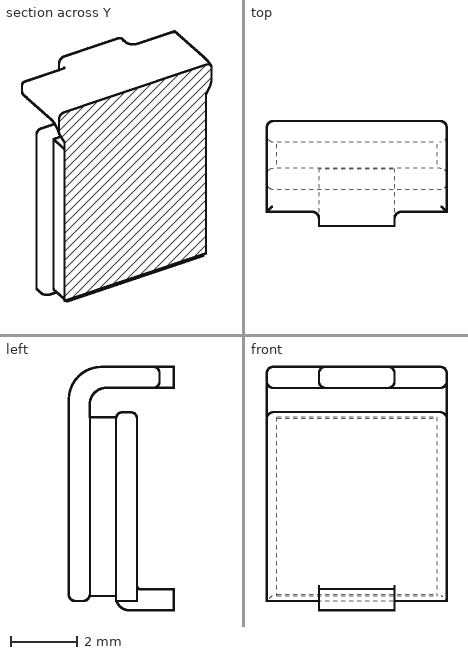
import cadquery as cq

width = 5.44
depth = 3.18
height = 7.36
sheet = 0.64
edge_round = 0.2

tab_width = 2.29
tab_reach = 1.11
tab_outer_bend = 0.4
tab_inner_bend = 0.1

plate_bottom = 0.28
top_gap = 1.37
front_plate_top = height - top_gap
corner_round = 0.21
core_side_inset = 0.3
core_end_inset = 0.15

outer_bend = 1.0
inner_bend = 0.5
shoulder = 0.43
shoulder_round = 0.2

tolerance = 1e-3

front_plate_back = tab_reach + sheet
back_plate_front = depth - sheet
overhang_bottom = height - sheet


def box(x_size, y_min, y_max, z_min, z_max):
    """Box centred on X between the given Y and Z limits."""
    return (
        cq.Workplane("XY")
        .box(x_size, y_max - y_min, z_max - z_min, centered=(True, False, False))
        .translate((0, y_min, z_min))
    )


def bent_sheet(reach_to, x_size):
    """Sheet of the back plate, bent forward at the top and ending at Y = reach_to."""
    profile = (
        cq.Workplane("YZ")
        .moveTo(depth, plate_bottom)
        .lineTo(depth, height - outer_bend)
        .radiusArc((depth - outer_bend, height), -outer_bend)
        .lineTo(reach_to, height)
        .lineTo(reach_to, overhang_bottom)
        .lineTo(back_plate_front - inner_bend, overhang_bottom)
        .radiusArc((back_plate_front, overhang_bottom - inner_bend), inner_bend)
        .lineTo(back_plate_front, plate_bottom)
        .close()
    )
    return profile.extrude(x_size / 2, both=True)


def round_sheet_outline(plate):
    """Round the outlines of both sheet faces, leaving the tab end and the edges through the sheet sharp."""
    outline = []
    for edge in plate.edges().vals():
        bounds = edge.BoundingBox()
        middle = edge.positionAt(0.5)
        spans_width = bounds.xlen > width / 2
        at_cut_end = middle.z < plate_bottom + tolerance
        bend_line = spans_width and not at_cut_end
        at_tab_end = bounds.ymax < tolerance
        through_sheet = abs(bounds.DiagonalLength - sheet) < tolerance
        if not (bend_line or at_tab_end or through_sheet):
            outline.append(edge)
    return plate.newObject(outline).fillet(edge_round)


def make_back_plate():
    """Upright plate bent forward at the top, narrowing to a tab between two shoulders."""
    plate = bent_sheet(shoulder, width)
    tab = box(tab_width, 0, depth - outer_bend, overhang_bottom, height)
    tab = tab.intersect(bent_sheet(0, width))
    plate = plate.union(tab).clean()
    for side in (-1, 1):
        corner = (side * tab_width / 2, shoulder, height - sheet / 2)
        plate = plate.edges(cq.selectors.NearestToPointSelector(corner)).fillet(shoulder_round)
    return round_sheet_outline(plate)


def make_front_plate():
    """Upright plate with rounded top and sides and a square-cut bottom."""
    plate = box(width, tab_reach, front_plate_back, plate_bottom, front_plate_top)
    plate = plate.edges("|Y and >Z").fillet(corner_round)
    return plate.faces("<Y or >Y").edges("not <Z").fillet(edge_round)


def make_lower_tab():
    """Tab bent forward from the foot of the front plate."""
    profile = (
        cq.Workplane("YZ")
        .moveTo(0, 0)
        .lineTo(front_plate_back - tab_outer_bend, 0)
        .radiusArc((front_plate_back, tab_outer_bend), -tab_outer_bend)
        .lineTo(front_plate_back, sheet + tab_inner_bend)
        .lineTo(tab_reach, sheet + tab_inner_bend)
        .radiusArc((tab_reach - tab_inner_bend, sheet), tab_inner_bend)
        .lineTo(0, sheet)
        .close()
    )
    return profile.extrude(tab_width / 2, both=True)


def make_core():
    """Block that joins the two plates."""
    return box(
        width - 2 * core_side_inset,
        front_plate_back,
        back_plate_front,
        plate_bottom + core_end_inset,
        front_plate_top - core_end_inset,
    )


result = make_back_plate().union(make_core()).union(make_front_plate()).union(make_lower_tab())